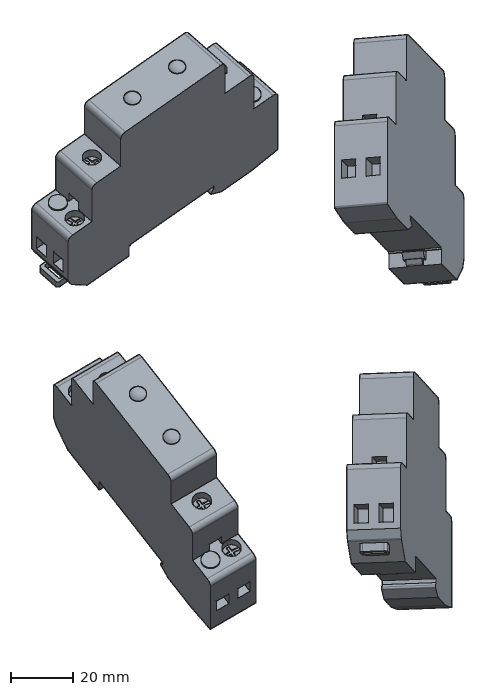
import cadquery as cq
import math


WIDTH = 17.6
LENGTH = 90.1
BODY_TOP = 65.5
MIDDLE_TOP = 49.5
LOWER_TOP = 31.1
LOWER_SHELF = 10.3
MIDDLE_SHELF = 12.35
EDGE_RADIUS = 2.0
FRONT = -LENGTH / 2
BACK = LENGTH / 2
MIDDLE_FACE = BACK - LOWER_SHELF
UPPER_FACE = MIDDLE_FACE - MIDDLE_SHELF

RAIL_ROOF = 5.45
LIP_HEIGHT = 4.9
LIP_DEPTH = 0.5
FOOT_INNER = FRONT + 26.2
FOOT_START = FRONT + 8.2
KNEE_Y = FRONT + 1.45
KNEE_Z = 6.0
KNEE_RADIUS = 1.0
FRONT_SLOPE_TOP = 9.3
CLAW_TIP_Y = BACK - 29.2
CLAW_TIP_Z = 2.6
CLAW_ROOT_Y = BACK - 27.5
CLAW_ROOT_Z = 4.2
BACK_FLAT_START = BACK - 24.3
BACK_FLAT_END = BACK - 11.6
BACK_CORNER_Z = 1.5
CLAW_RADIUS = 0.5
BACK_CORNER_RADIUS = 0.5

TERMINAL_SPACING = 8.2
LOWER_SCREW_Y = 37.95
MIDDLE_SCREW_Y = 27.0
SCREW_DIAMETER = 6.2
LOWER_SCREW_DEPTH = 3.2
MIDDLE_SCREW_DEPTH = 3.5
SCREW_DOME = 0.7
SCREW_SLOT_WIDTH = 1.0
SCREW_SHORT_SLOT = 4.5
CAP_DIAMETER = 6.2
CAP_HEIGHT = 0.5
WINDOW_WIDTH = 4.7
WINDOW_DEPTH = 7.3
WINDOW_BOTTOM = 11.4
WINDOW_TOP = 17.5
MIDDLE_WINDOW_TOP = 35.1

LAMP_Y = 9.6
LAMP_DIAMETER = 5.5
LAMP_DOME = 1.3
LAMP_RIM = 0.3

OVERALL_LENGTH = 90.8
SLIDE_BOTTOM = 1.9
SLIDE_TOP = 4.6
SLIDE_FRONT = BACK - OVERALL_LENGTH
SLIDE_SHANK_WIDTH = 7.1
NOSE_WIDTH = 5.45
SLIDE_HEAD_WIDTH = 9.1
SLIDE_HEAD_LENGTH = 4.5
SLIDE_HEAD_RADIUS = 1.0
EYE_WIDTH = 7.3
EYE_LENGTH = 2.3
EYE_RADIUS = 0.45
SLIDE_BAR = 1.6
SLIDE_TIP = FRONT + 29.5
SLIDE_TIP_Z = 4.0
TIP_TOP_SETBACK = 1.0
TIP_BOTTOM_SETBACK = 1.7
NOSE_TOP_SETBACK = 1.2
NOSE_BOTTOM_SETBACK = 2.6
NOSE_CHAMFER = 0.4


def side_prism(outline, width):
    """Extrude a (Y, Z) outline symmetrically about the X = 0 plane."""
    return cq.Workplane("YZ").polyline(outline).close().extrude(width / 2, both=True)


def dome(diameter, height):
    """Spherical cap standing on Z = 0."""
    radius = diameter / 2
    chord = math.hypot(radius, height) / 2
    arc_radius = 2 * chord**2 / height
    half_angle = math.asin(radius / arc_radius) / 2
    arc_middle = (
        arc_radius * math.sin(half_angle),
        height - arc_radius * (1 - math.cos(half_angle)),
    )
    return (
        cq.Workplane("XZ")
        .moveTo(0, 0)
        .lineTo(radius, 0)
        .threePointArc(arc_middle, (0, height))
        .close()
        .revolve(360, (0, 0), (0, 1))
    )


def round_edges(solid, points, radius):
    """Fillet the edges along X nearest to the given (Y, Z) points."""
    for y, z in points:
        edge = cq.selectors.NearestToPointSelector((0, y, z))
        solid = solid.edges("|X").edges(edge).fillet(radius)
    return solid


def make_housing():
    knee = (KNEE_Y, KNEE_Z)
    claw_tip = (CLAW_TIP_Y, CLAW_TIP_Z)
    back_corner = (BACK, BACK_CORNER_Z)
    back_edges = [(BACK, LOWER_TOP), (MIDDLE_FACE, MIDDLE_TOP), (UPPER_FACE, BODY_TOP)]
    outline = [
        (FOOT_START, 0),
        knee,
        (FRONT, FRONT_SLOPE_TOP),
        (FRONT, LOWER_TOP),
        (-MIDDLE_FACE, LOWER_TOP),
        (-MIDDLE_FACE, MIDDLE_TOP),
        (-UPPER_FACE, MIDDLE_TOP),
        (-UPPER_FACE, BODY_TOP),
        (UPPER_FACE, BODY_TOP),
        (UPPER_FACE, MIDDLE_TOP),
        (MIDDLE_FACE, MIDDLE_TOP),
        (MIDDLE_FACE, LOWER_TOP),
        (BACK, LOWER_TOP),
        back_corner,
        (BACK_FLAT_END, 0),
        (BACK_FLAT_START, 0),
        claw_tip,
        (CLAW_ROOT_Y, CLAW_ROOT_Z),
        (CLAW_ROOT_Y, RAIL_ROOF),
        (FOOT_INNER + LIP_DEPTH, RAIL_ROOF),
        (FOOT_INNER + LIP_DEPTH, LIP_HEIGHT),
        (FOOT_INNER, LIP_HEIGHT),
        (FOOT_INNER, 0),
    ]
    housing = side_prism(outline, WIDTH)

    front_edges = [(-y, z) for y, z in back_edges]
    housing = round_edges(housing, back_edges + front_edges, EDGE_RADIUS)
    housing = round_edges(housing, [knee], KNEE_RADIUS)
    housing = round_edges(housing, [claw_tip], CLAW_RADIUS)
    return round_edges(housing, [back_corner], BACK_CORNER_RADIUS)


def make_screw_recess(x, y, shelf, depth):
    """Space above a sunken screw: a round well less the domed, cross-slotted head."""
    rim = shelf - depth
    head = dome(SCREW_DIAMETER, SCREW_DOME)
    for length, width in (
        (SCREW_DIAMETER, SCREW_SLOT_WIDTH),
        (SCREW_SLOT_WIDTH, SCREW_SHORT_SLOT),
    ):
        head = head.cut(cq.Workplane("XY").rect(length, width).extrude(SCREW_DOME))
    well = cq.Workplane("XY").circle(SCREW_DIAMETER / 2).extrude(depth)
    return well.cut(head).translate((x, y, rim))


def make_window(x, face, bottom, top):
    """Wire opening running back from a face on the front end."""
    return cq.Workplane("XY").box(
        WINDOW_WIDTH, WINDOW_DEPTH, top - bottom, centered=(True, False, False)
    ).translate((x, face, bottom))


def make_terminal_cuts():
    side = TERMINAL_SPACING / 2
    return [
        make_screw_recess(side, -LOWER_SCREW_Y, LOWER_TOP, LOWER_SCREW_DEPTH),
        make_screw_recess(0, -MIDDLE_SCREW_Y, MIDDLE_TOP, MIDDLE_SCREW_DEPTH),
        make_window(-side, FRONT, WINDOW_BOTTOM, WINDOW_TOP),
        make_window(side, FRONT, WINDOW_BOTTOM, WINDOW_TOP),
        make_window(0, -MIDDLE_FACE, LOWER_TOP, MIDDLE_WINDOW_TOP),
    ]


def make_cap():
    return (
        cq.Workplane("XY", origin=(-TERMINAL_SPACING / 2, -LOWER_SCREW_Y, LOWER_TOP))
        .circle(CAP_DIAMETER / 2)
        .extrude(CAP_HEIGHT)
    )


def make_lamp():
    """Domed lamp on a short cylindrical rim, standing on Z = 0."""
    rim = cq.Workplane("XY").circle(LAMP_DIAMETER / 2).extrude(LAMP_RIM)
    return rim.union(dome(LAMP_DIAMETER, LAMP_DOME).translate((0, 0, LAMP_RIM)))


def make_shank():
    """Slide bar through the front foot, with a hooked tip in the rail slot."""
    start = SLIDE_FRONT + SLIDE_HEAD_LENGTH
    return side_prism(
        [
            (start, SLIDE_BOTTOM),
            (start, SLIDE_TOP),
            (SLIDE_TIP - TIP_TOP_SETBACK, SLIDE_TOP),
            (SLIDE_TIP, SLIDE_TIP_Z),
            (SLIDE_TIP - TIP_BOTTOM_SETBACK, SLIDE_BOTTOM),
        ],
        SLIDE_SHANK_WIDTH,
    )


def make_nose():
    """Narrow sloped nose on the rail side of the front foot, below the slide tip."""
    bottom_y = SLIDE_TIP - NOSE_BOTTOM_SETBACK
    return side_prism(
        [
            (FOOT_INNER, 0),
            (FOOT_INNER, SLIDE_BOTTOM),
            (SLIDE_TIP - NOSE_TOP_SETBACK, SLIDE_BOTTOM),
            (bottom_y + NOSE_CHAMFER, NOSE_CHAMFER),
            (bottom_y, 0),
        ],
        NOSE_WIDTH,
    )


def make_rounded_block(width, length, front, radius):
    """Block of the slide's thickness, starting at Y = front, with rounded upright edges."""
    return (
        cq.Workplane("XY", origin=(0, front, SLIDE_BOTTOM))
        .box(width, length, SLIDE_TOP - SLIDE_BOTTOM, centered=(True, False, False))
        .edges("|Z")
        .fillet(radius)
    )


def make_pull_head():
    """Head of the slide in front of the foot, with an eye for a screwdriver."""
    length = SLIDE_HEAD_LENGTH + SLIDE_HEAD_RADIUS
    head = make_rounded_block(SLIDE_HEAD_WIDTH, length, SLIDE_FRONT, SLIDE_HEAD_RADIUS)
    eye = make_rounded_block(EYE_WIDTH, EYE_LENGTH, SLIDE_FRONT + SLIDE_BAR, EYE_RADIUS)
    return head.cut(eye)


result = make_housing()
for angle in (0, 180):
    for cut in make_terminal_cuts():
        result = result.cut(cut.rotate((0, 0, 0), (0, 0, 1), angle))
    result = result.union(make_cap().rotate((0, 0, 0), (0, 0, 1), angle))
for lamp_y in (-LAMP_Y, LAMP_Y):
    result = result.union(make_lamp().translate((0, lamp_y, BODY_TOP)))
for slide_part in (make_shank(), make_nose(), make_pull_head()):
    result = result.union(slide_part)